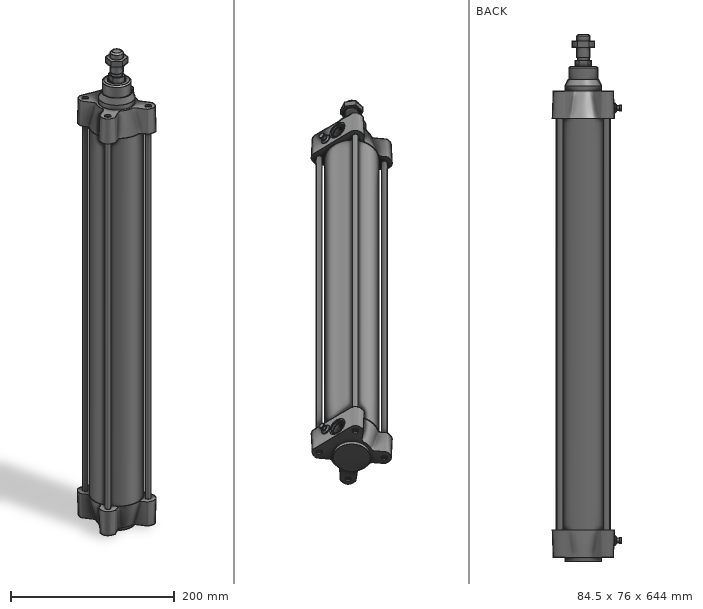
import cadquery as cq
import math

total_height = 644
boss_height = 5.0
cap_height = 33.5
front_cap_top = 574.5

cap_half_width = 38.0
cap_corner_radius = 9.5
cap_draft_angle = 2
core_base_diameter = 68.0
core_tip_diameter = 51.5
notch_offset = 15.5
notch_fillet = 4.5
notch_edge_fillet = 4.0
full_height_share = 0.9
boss_diameter = 45

tube_diameter = 67.0
tie_rod_diameter = 7.0
tie_rod_offset = 28.5
tie_hole_diameter = 8.0
tie_hole_depth = 2.5

port_y = -7.0
port_from_end = 15.0
port_mouth_diameter = 23.0
port_mouth_depth = 1.0
port_step_diameter = 19
port_bore_diameter = 16.0
port_step_depth = 4.0
port_depth = 11.5
screw_y = 10.0
screw_from_end = 20.5
screw_collar_diameter = 12.0
screw_collar_reach = 40.5
screw_collar_chamfer = 2.0
screw_stem_diameter = 6.0
screw_head_diameter = 7.0
screw_head_length = 2.0
screw_reach = 46.5
screw_root_depth = 2.5

shoulder_top = 581.0
cone_top = 588.5
cone_top_diameter = 37.5
collar_top = 605.0
collar_diameter = 35.5
collar_chamfer = 2.0
seal_recess_diameter = 23.0
seal_recess_depth = 3.0

rod_diameter = 20.0
rod_shoulder = 612
rod_flat_width = 17.0
rod_bottom = front_cap_top
thread_bottom = 615.5
thread_diameter = 16.0
relief_diameter = 15.0
thread_chamfer = 2.25

nut_width = 24.0
nut_bottom = 628.0
nut_height = 8.0
nut_corner_width = nut_width / math.cos(math.pi / 6)


def cylinder(diameter, bottom, top):
    return cq.Workplane("XY").workplane(offset=bottom).circle(diameter / 2).extrude(top - bottom)


def cone(bottom_diameter, top_diameter, bottom, top):
    profile = [(0, bottom), (bottom_diameter / 2, bottom), (top_diameter / 2, top), (0, top)]
    return cq.Workplane("XZ").polyline(profile).close().revolve(360, (0, 0, 0), (0, 1, 0))


def square_pattern(diameter, bottom, top):
    """Four upright cylinders on the tie rod axes."""
    return (
        cq.Workplane("XY")
        .workplane(offset=bottom)
        .rect(2 * tie_rod_offset, 2 * tie_rod_offset, forConstruction=True)
        .vertices()
        .circle(diameter / 2)
        .extrude(top - bottom)
    )


def side_cylinder(diameter, y, z, outer_reach, inner_reach):
    """Cylinder along X between two distances from the axis on the -X side."""
    disc = cq.Workplane("YZ", origin=(-outer_reach, y, z)).circle(diameter / 2)
    return disc.extrude(outer_reach - inner_reach)


def notch_cutter():
    """V-shaped cutter for one side of the cap, opening toward +X and widening with height."""
    depth = 2 * cap_half_width
    outline = [(notch_offset, 0), (depth, depth - notch_offset), (depth, notch_offset - depth)]
    return cq.Workplane("XY").polyline(outline).close().extrude(cap_height, taper=-cap_draft_angle)


def wall_edges(cap, min_distance, max_distance):
    """Select the full-height edges whose middle lies between two distances from the axis."""
    def is_wanted(edge):
        box = edge.BoundingBox()
        middle = edge.Center()
        is_full_height = box.zmax - box.zmin > full_height_share * cap_height
        return is_full_height and min_distance < math.hypot(middle.x, middle.y) < max_distance

    return cap.newObject([edge for edge in cap.edges().vals() if is_wanted(edge)])


def make_cap():
    """Drafted square cap with V notches on three sides around a conical core, standing on Z = 0."""
    cap = (
        cq.Workplane("XY")
        .sketch()
        .rect(2 * cap_half_width, 2 * cap_half_width)
        .vertices()
        .fillet(cap_corner_radius)
        .finalize()
        .extrude(cap_height, taper=cap_draft_angle)
    )
    for angle in (-90, 0, 90):
        cap = cap.cut(notch_cutter().rotate((0, 0, 0), (0, 0, 1), angle))
    cap = cap.union(cone(core_base_diameter, core_tip_diameter, 0, cap_height))

    core_radius = core_base_diameter / 2
    outer_edge_distance = math.hypot(cap_half_width, cap_half_width - notch_offset)
    corner_distance = math.hypot(cap_half_width, cap_half_width - cap_corner_radius)
    cap = wall_edges(cap, 0, core_radius).fillet(notch_fillet)
    nearest_edge = (core_radius + outer_edge_distance) / 2
    farthest_edge = (outer_edge_distance + corner_distance) / 2
    cap = wall_edges(cap, nearest_edge, farthest_edge).fillet(notch_edge_fillet)

    tie_holes = square_pattern(tie_hole_diameter, cap_height - tie_hole_depth, cap_height)
    return add_screw(add_port(cap.cut(tie_holes)))


def add_port(cap):
    """Stepped blind port, widest at the mouth."""
    port_z = cap_height - port_from_end
    steps = [
        (port_mouth_diameter, port_mouth_depth),
        (port_step_diameter, port_step_depth),
        (port_bore_diameter, port_depth),
    ]
    for diameter, depth in steps:
        cap = cap.cut(side_cylinder(diameter, port_y, port_z, cap_half_width, cap_half_width - depth))
    return cap


def add_screw(cap):
    """Cushion screw: chamfered collar, stem and a thin head."""
    screw_z = cap_height - screw_from_end
    root = cap_half_width - screw_root_depth
    head_start = screw_reach - screw_head_length
    collar = side_cylinder(screw_collar_diameter, screw_y, screw_z, screw_collar_reach, root)
    collar = collar.faces("<X").chamfer(screw_collar_chamfer)
    stem = side_cylinder(screw_stem_diameter, screw_y, screw_z, head_start, root)
    head = side_cylinder(screw_head_diameter, screw_y, screw_z, screw_reach, head_start)
    return cap.union(collar).union(stem).union(head)


def guide_collar():
    collar = cylinder(collar_diameter, front_cap_top, collar_top).faces(">Z").chamfer(collar_chamfer)
    collar = collar.union(cylinder(boss_diameter, front_cap_top, shoulder_top))
    return collar.union(cone(boss_diameter, cone_top_diameter, shoulder_top, cone_top))


def make_housing():
    tube_bottom = boss_height + cap_height
    tube_top = front_cap_top - cap_height
    front_cap = make_cap().translate((0, 0, tube_top))
    rear_cap = make_cap().mirror("XY").translate((0, 0, tube_bottom))
    tie_rods = square_pattern(tie_rod_diameter, tube_bottom, tube_top)
    housing = cylinder(tube_diameter, tube_bottom, tube_top).union(tie_rods)
    housing = housing.union(front_cap).union(rear_cap).union(guide_collar())
    housing = housing.union(cylinder(boss_diameter, 0, boss_height))
    housing = housing.cut(cylinder(rod_diameter, rod_bottom, collar_top))
    return housing.cut(cylinder(seal_recess_diameter, collar_top - seal_recess_depth, collar_top))


def make_rod():
    flats_height = rod_shoulder - collar_top
    flats = (
        cq.Workplane("XY")
        .workplane(offset=collar_top)
        .rect(2 * rod_diameter, rod_flat_width)
        .extrude(flats_height)
    )
    rod = cylinder(rod_diameter, rod_bottom, collar_top)
    rod = rod.union(cylinder(rod_diameter, collar_top, rod_shoulder).intersect(flats))
    rod = rod.union(cylinder(relief_diameter, rod_shoulder, thread_bottom))
    thread = cylinder(thread_diameter, thread_bottom, total_height).faces(">Z").chamfer(thread_chamfer)
    return rod.union(thread)


def make_nut():
    nut = cq.Workplane("XY").workplane(offset=nut_bottom).polygon(6, nut_corner_width).extrude(nut_height)
    return nut.cut(cylinder(thread_diameter, nut_bottom, nut_bottom + nut_height))


housing = make_housing()
rod = make_rod()
nut = make_nut()

result = cq.Compound.makeCompound([housing.val(), rod.val(), nut.val()])